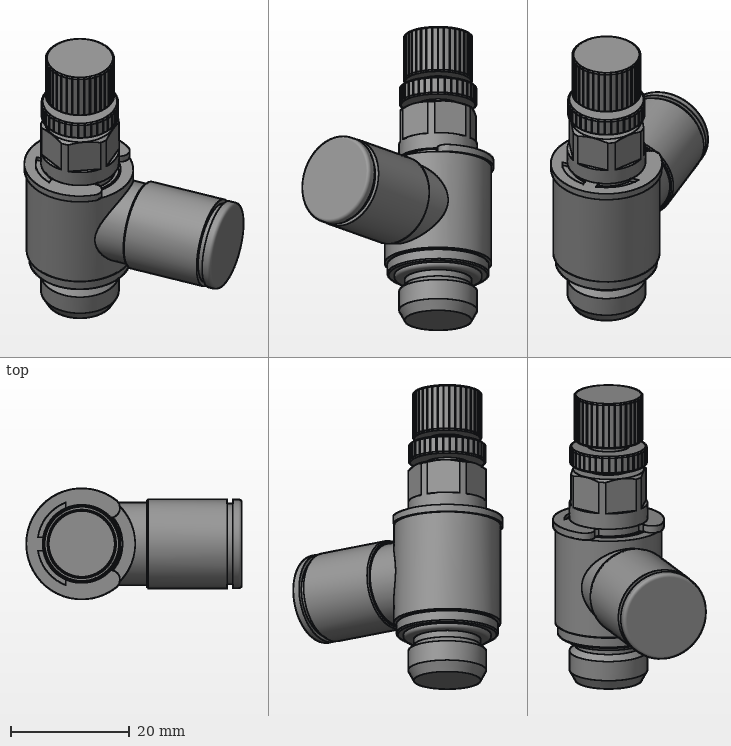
import cadquery as cq
import math


overall_height = 50.2
seal_bottom_z = 7.2
collar_bottom_z = 8.0
housing_bottom_z = 10.1
clip_bottom_z = 27.0
clip_top_z = 28.2
head_bottom_z = 28.4
hex_bottom_z = 31.1
hex_top_z = 37.0
nut_bottom_z = 38.05
nut_top_z = 41.1
stem_shoulder_z = 41.65
knob_bottom_z = 42.25

bolt_dia = 13.2
neck_dia = 11.3
clip_groove_dia = 12.0
tip_dia = 11.3
tip_chamfer_height = 1.75
thread_top_z = 5.1
hex_across_flats = 12.0
hex_half_sector = 30.0
hex_chamfer_width = 0.65
hex_chamfer_angle = 30.0

stem_dia = 7.0
stem_tip_dia = 6.05
stem_tip_length = 5.0
nut_dia = 13.0
knob_dia = 11.6
knurl_chamfer = 0.25
groove_count = 36
groove_width = 0.15
groove_depth = 0.1

housing_dia = 18.0
bore_chamfer = 0.3
outlet_z = 18.5
outlet_neck_dia = 14.0
sleeve_start_x = 11.0
sleeve_end_x = 24.5
sleeve_dia = 15.1
sleeve_chamfer = 0.25

release_neck_dia = 13.65
release_flange_dia = 15.0
release_flange_x = 25.5
release_end_x = 27.0
release_round = 0.55

clip_dia = 18.75
clip_end_angle = 51.7
clip_end_radius = 1.65
recess_outer_dia = 14.95
recess_depth = 0.6
recess_slope_dia = 13.6
recess_slope_drop = 0.1
recess_near_y = 1.15
recess_near_x = 2.65

collar_dia = 17.15
collar_chamfer = 0.25
seal_dia = 14.8
seal_round = 0.6


def cylinder(diameter, bottom_z, top_z):
    """Cylinder on the valve axis between two heights."""
    return cq.Workplane("XY").workplane(offset=bottom_z).circle(diameter / 2).extrude(top_z - bottom_z)


def outlet_cylinder(diameter, start_x, end_x):
    """Cylinder on the outlet axis between two X positions."""
    plane = cq.Workplane("YZ", origin=(start_x, 0, outlet_z))
    return plane.circle(diameter / 2).extrude(end_x - start_x)


def turned(points):
    """Solid turned about the valve axis from (radius, z) points."""
    return cq.Workplane("XZ").polyline(points).close().revolve(360, (0, 0), (0, 1))


def knurled(diameter, bottom_z, top_z):
    """Chamfered cylinder with evenly spaced grooves along its side."""
    height = top_z - bottom_z
    body = cylinder(diameter, bottom_z, top_z).faces("|Z").edges().chamfer(knurl_chamfer)
    grooves = (
        cq.Workplane("XY")
        .workplane(offset=bottom_z)
        .polarArray(diameter / 2, 0, 360, groove_count)
        .rect(2 * groove_depth, groove_width)
        .extrude(height)
    )
    return body.cut(grooves)


def make_bolt():
    bolt_radius = bolt_dia / 2
    neck_radius = neck_dia / 2
    groove_radius = clip_groove_dia / 2
    hex_chamfer_height = hex_chamfer_width * math.tan(math.radians(hex_chamfer_angle))
    bolt = turned([
        (0, 0),
        (tip_dia / 2, 0),
        (bolt_radius, tip_chamfer_height),
        (bolt_radius, thread_top_z),
        (neck_radius, thread_top_z + bolt_radius - neck_radius),
        (neck_radius, collar_bottom_z),
        (bolt_radius, collar_bottom_z),
        (bolt_radius, clip_bottom_z),
        (groove_radius, clip_bottom_z),
        (groove_radius, head_bottom_z),
        (bolt_radius, head_bottom_z),
        (bolt_radius, hex_top_z - hex_chamfer_height),
        (bolt_radius - hex_chamfer_width, hex_top_z),
        (0, hex_top_z),
    ])
    hex_corner_dia = hex_across_flats / math.cos(math.radians(hex_half_sector))
    hexagon = (
        cq.Workplane("XY")
        .workplane(offset=hex_bottom_z)
        .transformed(rotate=(0, 0, hex_half_sector))
        .polygon(6, hex_corner_dia)
        .extrude(hex_top_z - hex_bottom_z)
    )
    outside_hexagon = cylinder(2 * bolt_dia, hex_bottom_z, hex_top_z).cut(hexagon)
    stem_hole = cylinder(stem_dia, hex_bottom_z, hex_top_z)
    return bolt.cut(outside_hexagon).cut(stem_hole)


def make_stem():
    stem_radius = stem_dia / 2
    tip_radius = stem_tip_dia / 2
    tip_top_z = knob_bottom_z + stem_tip_length
    return turned([
        (0, hex_bottom_z),
        (stem_radius, hex_bottom_z),
        (stem_radius, stem_shoulder_z),
        (tip_radius, knob_bottom_z),
        (tip_radius, tip_top_z),
        (0, tip_top_z),
    ])


def make_lock_nut():
    bore = cylinder(stem_dia, nut_bottom_z, nut_top_z)
    return knurled(nut_dia, nut_bottom_z, nut_top_z).cut(bore)


def make_knob():
    stem_socket = cylinder(stem_tip_dia, knob_bottom_z, knob_bottom_z + stem_tip_length)
    return knurled(knob_dia, knob_bottom_z, overall_height).cut(stem_socket)


def make_housing():
    barrel = cylinder(housing_dia, housing_bottom_z, clip_bottom_z)
    outlet_neck = outlet_cylinder(outlet_neck_dia, 0, sleeve_start_x)
    sleeve = outlet_cylinder(sleeve_dia, sleeve_start_x, sleeve_end_x)
    sleeve = sleeve.faces("<X").edges().chamfer(sleeve_chamfer)
    bolt_bore = cylinder(bolt_dia, housing_bottom_z, clip_bottom_z)
    housing = barrel.union(outlet_neck).union(sleeve).cut(bolt_bore)
    bore_rim = cq.selectors.RadiusNthSelector(0)
    return housing.faces(">Z").edges(bore_rim).chamfer(bore_chamfer)


def make_release_ring():
    neck = outlet_cylinder(release_neck_dia, sleeve_end_x, release_flange_x)
    flange = outlet_cylinder(release_flange_dia, release_flange_x, release_end_x)
    return neck.union(flange.faces(">X").edges().fillet(release_round))


def make_clip():
    thickness = clip_top_z - clip_bottom_z
    base = cq.Workplane("XY").workplane(offset=clip_bottom_z)
    recess_floor_z = clip_top_z - recess_depth
    ring = cylinder(clip_dia, clip_bottom_z, clip_top_z)
    ring = ring.cut(cylinder(clip_groove_dia, clip_bottom_z, clip_top_z))

    cos_end = math.cos(math.radians(clip_end_angle))
    sin_end = math.sin(math.radians(clip_end_angle))
    end_centre_radius = clip_dia / 2 - clip_end_radius
    end_x = end_centre_radius * cos_end
    end_y = end_centre_radius * sin_end
    opening = base.center(end_x + clip_dia / 2, 0).rect(clip_dia, clip_dia * sin_end).extrude(thickness)
    end_centres = [(end_x, end_y), (end_x, -end_y)]
    round_ends = base.pushPoints(end_centres).circle(clip_end_radius).extrude(thickness)
    ring = ring.cut(opening.cut(round_ends))

    slope_bottom_z = recess_floor_z - recess_slope_drop
    recess_tool = turned([
        (0, slope_bottom_z),
        (clip_groove_dia / 2, slope_bottom_z),
        (recess_slope_dia / 2, recess_floor_z),
        (recess_outer_dia / 2, recess_floor_z),
        (recess_outer_dia / 2, clip_top_z),
        (0, clip_top_z),
    ])
    for side in (1, -1):
        corner = (
            cq.Workplane("XY")
            .workplane(offset=slope_bottom_z)
            .center(-recess_near_x - clip_dia / 2, side * (recess_near_y + clip_dia / 2))
            .rect(clip_dia, clip_dia)
            .extrude(recess_depth + recess_slope_drop)
        )
        ring = ring.cut(recess_tool.intersect(corner))
    return ring


def make_collar():
    collar = cylinder(collar_dia, collar_bottom_z, housing_bottom_z)
    collar = collar.faces("|Z").edges().chamfer(collar_chamfer)
    return collar.cut(cylinder(bolt_dia, collar_bottom_z, housing_bottom_z))


def make_seal():
    seal = cylinder(seal_dia, seal_bottom_z, collar_bottom_z)
    seal = seal.faces("<Z").edges().fillet(seal_round)
    return seal.cut(cylinder(neck_dia, seal_bottom_z, collar_bottom_z))


bolt = make_bolt()
stem = make_stem()
lock_nut = make_lock_nut()
knob = make_knob()
housing = make_housing()
release_ring = make_release_ring()
clip = make_clip()
collar = make_collar()
seal = make_seal()

result = cq.Compound.makeCompound([
    bolt.val(),
    stem.val(),
    lock_nut.val(),
    knob.val(),
    housing.val(),
    release_ring.val(),
    clip.val(),
    collar.val(),
    seal.val(),
])